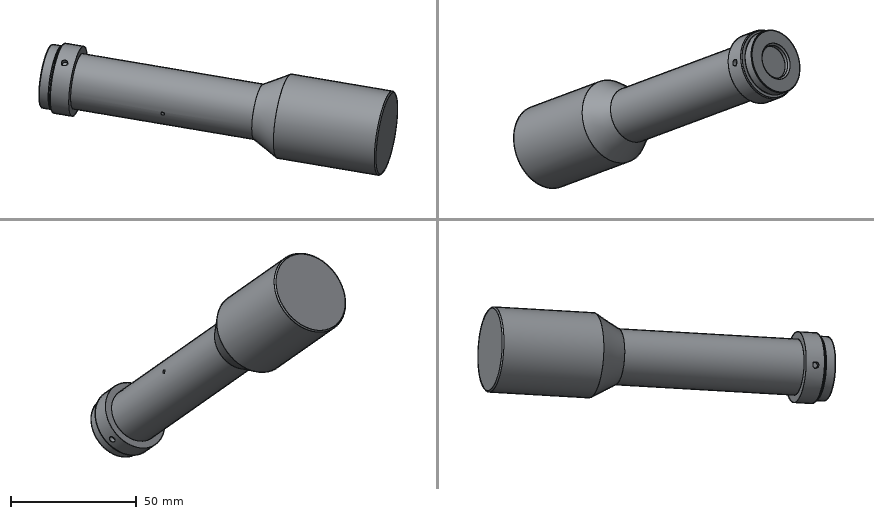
import cadquery as cq
import math

TOTAL_LENGTH = 140.2
FLANGE_LENGTH = 3.9
COLLAR_START = 4.8
COLLAR_END = 12.8
CONE_START = 87.5
CONE_END = 98.0

FLANGE_RADIUS = 12.9
GROOVE_RADIUS = 12.2
TUBE_RADIUS = 11.2
COLLAR_RADIUS = 14.2
HOOD_RADIUS = 34.0 / 2
FLANGE_CHAMFER = 0.3
COLLAR_CHAMFER = 0.4
HOOD_CHAMFER = 0.5

RECESS_RADIUS = 7.4
RECESS_DEPTH = 2.2
RECESS_FLOOR_RADIUS = 6.7
RECESS_CONE_DEPTH = RECESS_RADIUS - RECESS_FLOOR_RADIUS

SCREW_COUNT = 3
FIRST_SCREW_ANGLE = 66.0
SCREW_RADIUS = 1.3
SCREW_SINK = 2.0
SCREW_X = (COLLAR_START + COLLAR_END) / 2

VENT_X = 50.7
VENT_RADIUS = 0.7
VENT_DEPTH = 1.4


def make_housing():
    """Turned tube with a grooved flange at one end and a wide hood at the other."""
    profile = [
        (0, 0),
        (0, FLANGE_RADIUS - FLANGE_CHAMFER),
        (FLANGE_CHAMFER, FLANGE_RADIUS),
        (FLANGE_LENGTH, FLANGE_RADIUS),
        (FLANGE_LENGTH, GROOVE_RADIUS),
        (COLLAR_START, GROOVE_RADIUS),
        (COLLAR_START, TUBE_RADIUS),
        (CONE_START, TUBE_RADIUS),
        (CONE_END, HOOD_RADIUS),
        (TOTAL_LENGTH - HOOD_CHAMFER, HOOD_RADIUS),
        (TOTAL_LENGTH, HOOD_RADIUS - HOOD_CHAMFER),
        (TOTAL_LENGTH, 0),
    ]
    body = cq.Workplane("XZ").polyline(profile).close().revolve(360, (0, 0, 0), (1, 0, 0))

    recess_profile = [
        (0, 0),
        (0, RECESS_RADIUS),
        (RECESS_CONE_DEPTH, RECESS_FLOOR_RADIUS),
        (RECESS_DEPTH, RECESS_FLOOR_RADIUS),
        (RECESS_DEPTH, 0),
    ]
    recess = cq.Workplane("XZ").polyline(recess_profile).close().revolve(360, (0, 0, 0), (1, 0, 0))

    vent = cq.Solid.makeCylinder(
        VENT_RADIUS, VENT_DEPTH, cq.Vector(VENT_X, -TUBE_RADIUS, 0), cq.Vector(0, 1, 0)
    )
    return body.cut(recess).cut(cq.Workplane(vent))


def radial_cylinder(angle, inner_end, outer_end):
    """Screw-sized cylinder pointing outward; the angle runs from -Y towards +Z."""
    direction = cq.Vector(0, -math.cos(math.radians(angle)), math.sin(math.radians(angle)))
    start = cq.Vector(SCREW_X, 0, 0) + direction * inner_end
    return cq.Solid.makeCylinder(SCREW_RADIUS, outer_end - inner_end, start, direction)


def make_collar(screw_angles):
    """Ring around the tube, chamfered at the groove end and drilled for the set screws."""
    profile = [
        (COLLAR_START, TUBE_RADIUS),
        (COLLAR_START, COLLAR_RADIUS - COLLAR_CHAMFER),
        (COLLAR_START + COLLAR_CHAMFER, COLLAR_RADIUS),
        (COLLAR_END, COLLAR_RADIUS),
        (COLLAR_END, TUBE_RADIUS),
    ]
    collar = cq.Workplane("XZ").polyline(profile).close().revolve(360, (0, 0, 0), (1, 0, 0))
    for angle in screw_angles:
        drill = radial_cylinder(angle, TUBE_RADIUS - SCREW_RADIUS, COLLAR_RADIUS + SCREW_RADIUS)
        collar = collar.cut(cq.Workplane(drill))
    return collar


def make_set_screw(angle, housing):
    """Headless screw sunk below the rim, its inner end seated against the tube."""
    blank = radial_cylinder(angle, TUBE_RADIUS - SCREW_RADIUS, COLLAR_RADIUS - SCREW_SINK)
    return cq.Workplane(blank).cut(housing)


screw_angles = [FIRST_SCREW_ANGLE + i * 360 / SCREW_COUNT for i in range(SCREW_COUNT)]
housing = make_housing()
collar = make_collar(screw_angles)
set_screws = [make_set_screw(angle, housing) for angle in screw_angles]

result = cq.Compound.makeCompound(
    [housing.val(), collar.val(), *[screw.val() for screw in set_screws]]
)